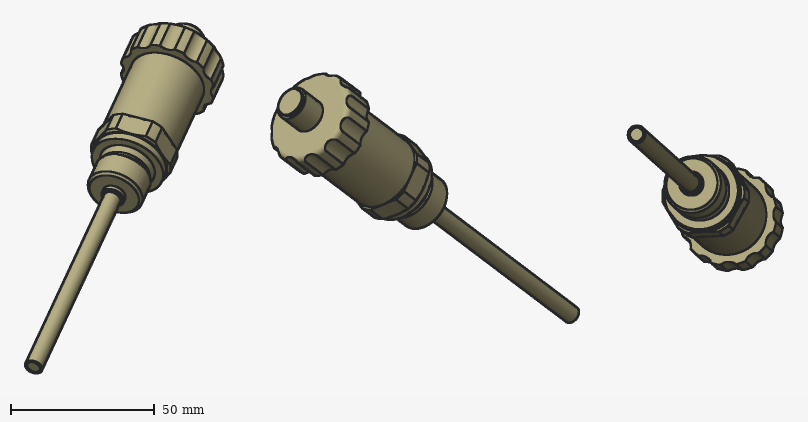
import cadquery as cq
import math

total_length = 165.6

boss_front = 83.8
thread_front = 86.0
thread_back = 95.5
groove_front = 96.0
groove_back = 97.5
collar_front = 100.0
hex_front = 103.0
hex_back = 111.0
grip_front = 142.4
grip_back = 154.5
plug_tip_length = 1.0

core_diameter = 4.8
probe_diameter = 6.3
boss_diameter = 8.3
thread_diameter = 20.2
groove_diameter = 18.4
collar_diameter = 26.3
barrel_diameter = 27.2
plug_diameter = 12.1
plug_tip_diameter = 10.1

boss_chamfer = 0.5
thread_chamfer = 1.0

hex_across_flats = barrel_diameter
hex_corner_diameter = 29.3
hex_chamfer_angle = 30.0
hex_turn = 30.0

grip_height = 34.1
flute_count = 12
flute_width = 5.5
flute_depth = 1.0
grip_fillet = 2.0

flute_edge_height = grip_height / 2
grip_radius = math.hypot(flute_edge_height, flute_width / 2)
flute_radius = ((flute_width / 2) ** 2 + flute_depth**2) / (2 * flute_depth)
flute_center_distance = flute_edge_height - flute_depth + flute_radius


def y_disc(diameter, start, end):
    """Cylinder on the Y axis between two positions."""
    return cq.Workplane("XZ", origin=(0, end, 0)).circle(diameter / 2).extrude(end - start)


def revolve_profile(points):
    """Solid of revolution about the Y axis from (radius, y) points, with its seam on the -X side."""
    outline = [(-radius, y) for radius, y in points]
    return cq.Workplane("XY").polyline(outline).close().revolve(360, (0, 0, 0), (0, 1, 0))


def make_turned_body():
    """Probe tube, boss, threaded end, collar, barrel and plug, without the hexagon and the grip."""
    boss_radius = boss_diameter / 2
    thread_radius = thread_diameter / 2
    groove_radius = groove_diameter / 2
    plug_tip_start = total_length - plug_tip_length
    return revolve_profile([
        (0, 0),
        (probe_diameter / 2, 0),
        (probe_diameter / 2, boss_front),
        (boss_radius - boss_chamfer, boss_front),
        (boss_radius, boss_front + boss_chamfer),
        (boss_radius, thread_front),
        (thread_radius - thread_chamfer, thread_front),
        (thread_radius, thread_front + thread_chamfer),
        (thread_radius, thread_back),
        (groove_radius, groove_front),
        (groove_radius, groove_back),
        (thread_radius, collar_front),
        (collar_diameter / 2, collar_front),
        (collar_diameter / 2, hex_front),
        (barrel_diameter / 2, hex_front),
        (barrel_diameter / 2, grip_back),
        (plug_diameter / 2, grip_back),
        (plug_diameter / 2, plug_tip_start),
        (plug_tip_diameter / 2, plug_tip_start),
        (plug_tip_diameter / 2, total_length),
        (0, total_length),
    ])


def make_hexagon():
    """Wrench hexagon, flats facing +Z and -Z, its corners turned down and chamfered at the front."""
    face_radius = hex_across_flats / 2
    corner_radius = hex_corner_diameter / 2
    chamfer_length = (corner_radius - face_radius) * math.tan(math.radians(hex_chamfer_angle))
    prism = (
        cq.Workplane("XZ", origin=(0, hex_back, 0))
        .polygon(6, hex_across_flats, circumscribed=True)
        .extrude(hex_back - hex_front)
        .rotate((0, 0, 0), (0, 1, 0), hex_turn)
    )
    turned_blank = revolve_profile([
        (0, hex_front),
        (face_radius, hex_front),
        (corner_radius, hex_front + chamfer_length),
        (corner_radius, hex_back),
        (0, hex_back),
    ])
    return prism.intersect(turned_blank)


def make_grip():
    """Grip ring with a rounded back edge and flutes running its full length."""
    ring = y_disc(2 * grip_radius, grip_front, grip_back).faces(">Y").edges().fillet(grip_fillet)
    flutes = (
        cq.Workplane("XZ", origin=(0, grip_back, 0))
        .polarArray(flute_center_distance, 0, 360, flute_count)
        .circle(flute_radius)
        .extrude(grip_back - grip_front)
    )
    return ring.cut(flutes)


def make_core():
    """Core inside the probe tube, flush with the tip."""
    return y_disc(core_diameter, 0, boss_front)


core = make_core()
housing = make_turned_body().union(make_hexagon()).union(make_grip()).cut(core)

result = cq.Compound.makeCompound([housing.val(), core.val()])